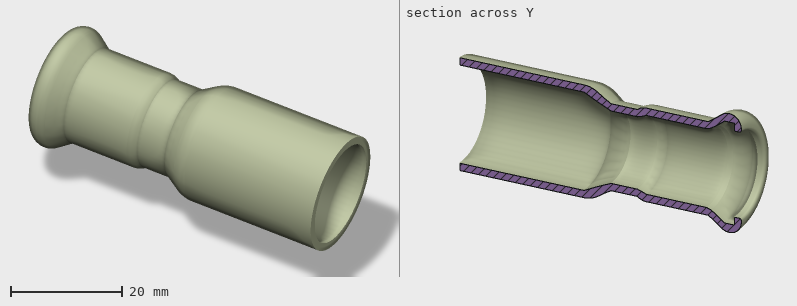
import cadquery as cq
import math

total_length = 59.0

collar_diameter = 23.2
socket_diameter = 18.3
neck_diameter = 17.0
spigot_diameter = 22.0

collar_arc_end = 4.15
collar_end = 6.95
socket_end = 19.95
neck_start = 21.8
neck_end = 27.3
spigot_start = 32.9
shoulder_angle = 31.0

mouth_face_diameter = 17.7
mouth_edge_diameter = 16.65
seal_groove_diameter = 19.7
seal_end_diameter = 15.8
socket_bore = 15.2
neck_bore = 14.0
spigot_bore = 19.0
seal_start = 1.55
seal_cone_start = 3.55
seal_end = 6.4
socket_bore_start = 7.3

collar_tube_radius = 2.6
collar_tube_center = collar_diameter / 2 - collar_tube_radius

mouth_round = (mouth_face_diameter - mouth_edge_diameter) / 2


def collar_radius_at(x):
    """Outer radius of the collar torus at axial position x."""
    offset = x - collar_tube_radius
    return collar_tube_center + math.sqrt(collar_tube_radius**2 - offset**2)


slope = math.radians(shoulder_angle)
shoulder_rise = (spigot_diameter - neck_diameter) / 2
cone_corner = neck_end + shoulder_rise / math.tan(slope)
blend_tangent = spigot_start - cone_corner
blend_radius = blend_tangent / math.tan(slope / 2)
blend_start = cone_corner - blend_tangent * math.cos(slope)
blend_start_radius = spigot_diameter / 2 - blend_tangent * math.sin(slope)
blend_middle = spigot_start - blend_radius * math.sin(slope / 2)
blend_middle_radius = spigot_diameter / 2 - blend_radius * (1 - math.cos(slope / 2))

step_drop = (socket_diameter - neck_diameter) / 2
step_length = neck_start - socket_end
step_radius = (step_length**2 + step_drop**2) / (2 * step_drop)
step_half_angle = math.asin(step_length / step_radius) / 2
step_middle = socket_end + step_radius * math.sin(step_half_angle)
step_middle_radius = socket_diameter / 2 - step_radius * (1 - math.cos(step_half_angle))


def make_outside():
    """Solid body enclosed by the outer surface."""
    profile = (
        cq.Workplane("XY")
        .lineTo(0, collar_tube_center)
        .threePointArc(
            (collar_tube_radius, collar_diameter / 2),
            (collar_arc_end, collar_radius_at(collar_arc_end)),
        )
        .lineTo(collar_end, socket_diameter / 2)
        .lineTo(socket_end, socket_diameter / 2)
        .threePointArc((step_middle, step_middle_radius), (neck_start, neck_diameter / 2))
        .lineTo(neck_end, neck_diameter / 2)
        .lineTo(blend_start, blend_start_radius)
        .threePointArc((blend_middle, blend_middle_radius), (spigot_start, spigot_diameter / 2))
        .lineTo(total_length, spigot_diameter / 2)
        .lineTo(total_length, 0)
        .close()
    )
    return profile.revolve(360, (0, 0, 0), (1, 0, 0))


def make_bore():
    """Through passage: rounded mouth, tapered seal groove, socket, neck and spigot bores."""
    profile = (
        cq.Workplane("XY")
        .lineTo(0, mouth_face_diameter / 2)
        .radiusArc((mouth_round, mouth_edge_diameter / 2), -mouth_round)
        .lineTo(seal_start, mouth_edge_diameter / 2)
        .lineTo(seal_start, seal_groove_diameter / 2)
        .lineTo(seal_cone_start, seal_groove_diameter / 2)
        .lineTo(seal_end, seal_end_diameter / 2)
        .lineTo(socket_bore_start, socket_bore / 2)
        .lineTo(socket_end, socket_bore / 2)
        .lineTo(neck_start, neck_bore / 2)
        .lineTo(neck_end, neck_bore / 2)
        .lineTo(spigot_start, spigot_bore / 2)
        .lineTo(total_length, spigot_bore / 2)
        .lineTo(total_length, 0)
        .close()
    )
    return profile.revolve(360, (0, 0, 0), (1, 0, 0))


result = make_outside().cut(make_bore())